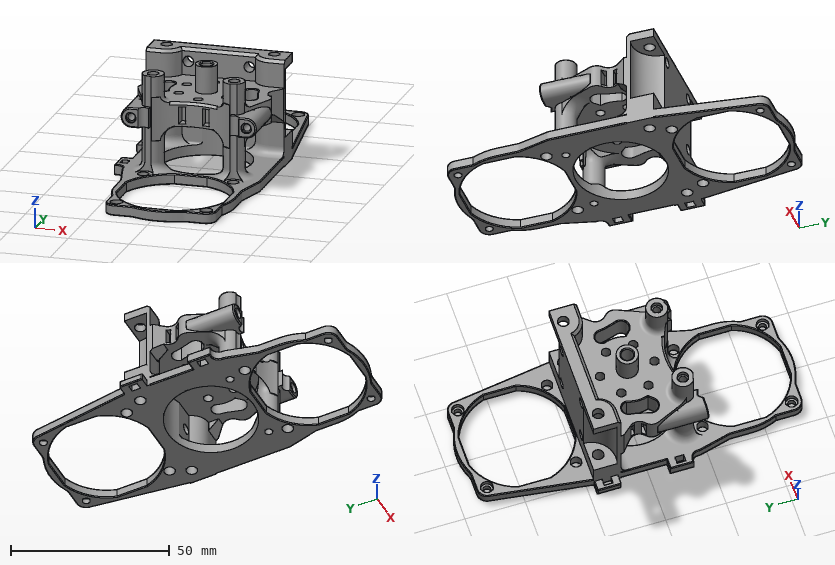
import cadquery as cq
import math

body_half_width = 22.7
total_height = 35.03
base_height = 3.5
base_edge_break = 0.3
pick_margin = 0.1

opening_front_y = -34.84
opening_rear_y = 36.5
opening_radius = 18.3
opening_half_flat = 17.5
ring_outer_radius = 20.0
ring_half_square = 18.1
ring_blend_radius = 3.0
screw_offset = 14.75
corner_radius = ring_half_square - screw_offset
outer_screw_diameter = 2.5
outer_counterbore_diameter = 4.0
outer_counterbore_depth = 1.5
inner_screw_diameter = 3.6
taper_start_y = -16.8
taper_end_y = -27.5
centre_opening_radius = 15.0
centre_opening_y = -0.5

tab_reach = 3.5
tab_length = 7.9
rear_tab_front_y = 10.5
front_tab_front_y = -13.6
rear_tab_height = 2.5
tab_slot_width = 2.3
tab_slot_length = 2.9
tab_slot_from_front = 2.3
tab_blend_radius = 2.5

wall_rear_y = 18.5
wall_front_y = 13.5
wall_screw_x = 17.7
wall_screw_y = 15.4
wall_screw_diameter = 3.6
lobe_radius = 6.0
lobe_skin = 1.0
wall_recess_centre_x = 20.5
wall_recess_bottom = 9.5
wall_recess_top = 32.0
wall_top_chamfer = 1.0
wall_foot_radius = 3.0
wall_middle_foot_radius = 0.8
wall_hole_pitch = 20.0
wall_hole_centre_z = 20.6
wall_hole_diameter = 3.4

plate_bottom = 18.2
plate_top = 26.1
plate_front_radius = 21.5
plate_front_chamfer = 0.8
plate_hole_circle_radius = 9.0
plate_hole_diameter = 2.93
plate_hole_count = 6
plate_front_limit_y = -16.5
gusset_leg = 3.6
gusset_inner_x = 17.5
slot_edge_chamfer = 0.3

side_corner_y = 8.5
waist_start = (19.9, 5.2)
waist_middle = (19.3, 3.2)
waist_end = (20.1, 1.1)
hip_start = (21.0, 0.2)
hip_middle = (21.8, -1.9)
hip_end = (21.5, -3.4)
post_tangent = (16.7, -14.4)

slot_inner_rear = (11.4, 4.0)
slot_inner_middle = (12.1, 0.0)
slot_inner_front = (11.6, -3.1)
slot_front_start = (13.4, -4.9)
slot_front_middle = (16.3, -4.9)
slot_front_end = (17.4, -2.3)
slot_outer_bend = (16.1, 2.2)
slot_outer_rear = (15.8, 4.2)
slot_rear_middle = (13.6, 6.2)

rib_slot_bottom = 19.0
rib_slot_top = 24.6
front_rib_slot_x = 3.9
front_rib_slot_width = 2.2
front_rib_slot_depth = 3.0
side_rib_slot_ys = (4.5, 1.0)
side_rib_slot_width = 1.3
side_rib_slot_floor_x = 17.5

post_diameter = 7.0
boss_bore_diameter = 4.0
boss_bore_chamfer = 0.35
post_x = 13.3
post_y = -14.1
post_bore_diameter = 2.5
post_counterbore_diameter = 3.6
post_counterbore_depth = 1.5
foot_flare_radius = 3.0
under_plate_flare_radius = 4.5
over_plate_flare_radius = 2.0
driver_clearance_diameter = 6.1

tube_x = 18.95
tube_z = 21.6
tube_diameter = 6.5
tube_front_y = -19.9
tube_rear_y = -3.0
tube_end_chamfer = 0.4
tube_bore_diameter = 2.4
tube_bore_depth = 10.0
tube_counterbore_diameter = 3.4
tube_counterbore_depth = 1.0


def box(x0, x1, y0, y1, z0, z1):
    return cq.Workplane("XY").box(x1 - x0, y1 - y0, z1 - z0, centered=False).translate((x0, y0, z0))


def cylinder(x, y, z0, z1, radius):
    return cq.Workplane("XY").workplane(offset=z0).center(x, y).circle(radius).extrude(z1 - z0)


def both_sides(shape):
    return shape.union(shape.mirror("YZ"))


def screw_corners(centre_y, outward):
    """Outer (free end) and inner screw rows of an opening, as (x, y) lists."""
    outer_y = centre_y + outward * screw_offset
    inner_y = centre_y - outward * screw_offset
    outer = [(side * screw_offset, outer_y) for side in (-1, 1)]
    inner = [(side * screw_offset, inner_y) for side in (-1, 1)]
    return outer, inner


rear_outer_screws, rear_inner_screws = screw_corners(opening_rear_y, 1)
front_outer_screws, front_inner_screws = screw_corners(opening_front_y, -1)


def ring_blank(centre_y, outward):
    """Rounded square with a circular bulge; the bulge is blended into the free end."""
    square = box(
        -ring_half_square, ring_half_square,
        centre_y - ring_half_square, centre_y + ring_half_square, 0, base_height,
    ).edges("|Z").fillet(corner_radius)
    blank = square.union(cylinder(0, centre_y, 0, base_height, ring_outer_radius))
    meet = math.sqrt(ring_outer_radius**2 - ring_half_square**2)
    end_y = centre_y + outward * ring_half_square
    picks = cq.selectors.BoxSelector(
        (-meet - pick_margin, end_y - pick_margin, 0),
        (meet + pick_margin, end_y + pick_margin, base_height),
    )
    return blank.edges("|Z").edges(picks).fillet(ring_blend_radius)


def body_blank():
    """Base between the openings, tapering to each ring."""
    rear_corner_y = opening_rear_y + screw_offset
    half = [
        (ring_half_square, rear_corner_y),
        (body_half_width, wall_rear_y),
        (body_half_width, taper_start_y),
        (ring_outer_radius, taper_end_y),
        (ring_outer_radius, opening_front_y),
    ]
    outline = half + [(-x, y) for x, y in reversed(half)]
    return cq.Workplane("XY").polyline(outline).close().extrude(base_height)


def front_tab():
    """Full-height tab whose front side sweeps into the body with a concave arc."""
    outer_x = -body_half_width - tab_reach
    rear_y = front_tab_front_y + tab_length
    r = tab_blend_radius
    bend = r * math.sqrt(0.5)
    return (
        cq.Workplane("XY")
        .moveTo(0, rear_y)
        .lineTo(outer_x, rear_y)
        .lineTo(outer_x, front_tab_front_y)
        .lineTo(-body_half_width - r, front_tab_front_y)
        .threePointArc(
            (-body_half_width - r + bend, front_tab_front_y - r + bend),
            (-body_half_width, front_tab_front_y - r),
        )
        .lineTo(0, front_tab_front_y - r)
        .close()
        .extrude(base_height)
    )


def ring_opening(centre_y):
    h = opening_half_flat
    square = box(-h, h, centre_y - h, centre_y + h, 0, base_height)
    return square.intersect(cylinder(0, centre_y, 0, base_height, opening_radius))


def make_base():
    base = body_blank()
    base = base.union(ring_blank(opening_rear_y, 1)).union(ring_blank(opening_front_y, -1))
    base = base.union(front_tab())
    for centre_y in (opening_rear_y, opening_front_y):
        base = base.cut(ring_opening(centre_y))
    base = base.faces("<Z or >Z").edges().chamfer(base_edge_break)
    rear_tab = box(
        -body_half_width - tab_reach, 0,
        rear_tab_front_y, rear_tab_front_y + tab_length, 0, rear_tab_height,
    ).edges("<X or (>Y and >Z)").chamfer(base_edge_break)
    return base.union(rear_tab)


def wall_blank():
    """Flat wall with a lobe round each end screw."""
    wall = box(-body_half_width, body_half_width, wall_front_y, wall_rear_y, 0, total_height)
    lobe = cylinder(wall_screw_x, wall_screw_y, 0, total_height, lobe_radius).union(
        box(wall_screw_x, body_half_width, wall_screw_y - lobe_radius, wall_rear_y, 0, total_height)
    )
    limits = box(-body_half_width, body_half_width, 0, wall_rear_y, 0, total_height)
    return wall.union(both_sides(lobe)).intersect(limits)


def wall_recess():
    """Open-backed round pocket behind each lobe, leaving a thin front skin."""
    floor_y = wall_screw_y - lobe_radius + lobe_skin
    pocket = cylinder(
        wall_recess_centre_x, wall_rear_y, wall_recess_bottom, wall_recess_top, wall_rear_y - floor_y
    )
    limits = box(0, body_half_width, floor_y, wall_rear_y, 0, total_height)
    return both_sides(pocket.intersect(limits))


def make_wall():
    wall = wall_blank()
    top_front = cq.selectors.BoxSelector(
        (-body_half_width + pick_margin, 0, total_height - pick_margin),
        (body_half_width - pick_margin, wall_front_y + pick_margin, total_height + pick_margin),
    )
    return wall.edges(top_front).chamfer(wall_top_chamfer)


def foot_strip(x0, x1, y, r):
    """Straight concave fillet between a wall face at y and the base, running along X."""
    top = base_height + r
    strip = box(x0, x1, y - r, y, base_height, top)
    round_cut = cq.Workplane("YZ").workplane(offset=x0).center(y - r, top).circle(r).extrude(x1 - x0)
    return strip.cut(round_cut)


def wall_foot():
    """Concave fillets between the front of the wall and the base."""
    lobe_front = wall_screw_y - lobe_radius
    foot = foot_strip(wall_screw_x, body_half_width, lobe_front, wall_foot_radius)
    ring = flare(wall_screw_x, wall_screw_y, lobe_radius, base_height, wall_foot_radius, 1)
    foot = foot.union(ring.intersect(box(0, wall_screw_x, 0, wall_screw_y, 0, total_height)))
    middle_half_width = wall_screw_x - lobe_radius
    middle = foot_strip(-middle_half_width, middle_half_width, wall_front_y, wall_middle_foot_radius)
    return both_sides(foot), middle


def flare(x, y, radius, z, size, direction):
    """Concave ring between a vertical cylinder and a plane at z."""
    bend = size * (1 - math.sqrt(0.5))
    ring = (
        cq.Workplane("XZ")
        .moveTo(0, z)
        .lineTo(radius + size, z)
        .threePointArc((radius + bend, z + direction * bend), (radius, z + direction * size))
        .lineTo(0, z + direction * size)
        .close()
        .revolve(360, (0, 0, 0), (0, 1, 0))
    )
    return ring.translate((x, y, 0))


def plate_region(z0, z1):
    """Plan shape of the raised plate with its waisted sides, before the front is trimmed."""
    half = (
        cq.Workplane("XY").workplane(offset=z0)
        .moveTo(0, wall_front_y)
        .lineTo(body_half_width, wall_front_y)
        .lineTo(body_half_width, side_corner_y)
        .lineTo(*waist_start)
        .threePointArc(waist_middle, waist_end)
        .lineTo(*hip_start)
        .threePointArc(hip_middle, hip_end)
        .lineTo(*post_tangent)
        .lineTo(post_x, plate_front_limit_y)
        .lineTo(0, plate_front_limit_y)
        .close()
        .extrude(z1 - z0)
    )
    return both_sides(half)


def slot_outline(z):
    """Bent slot: inner edge curving round the boss, outer edge following the side."""
    return (
        cq.Workplane("XY").workplane(offset=z)
        .moveTo(*slot_inner_rear)
        .threePointArc(slot_inner_middle, slot_inner_front)
        .lineTo(*slot_front_start)
        .threePointArc(slot_front_middle, slot_front_end)
        .lineTo(*slot_outer_bend)
        .lineTo(*slot_outer_rear)
        .threePointArc(slot_rear_middle, slot_inner_rear)
        .close()
    )


def adjustment_slot():
    """Slot through the plate with a chamfered rim."""
    slot = slot_outline(plate_bottom).extrude(plate_top - plate_bottom)
    rim = slot_outline(plate_top - slot_edge_chamfer).extrude(slot_edge_chamfer, taper=-45)
    return slot.union(rim)


def make_plate():
    plate = plate_region(plate_bottom, plate_top)
    holes = (
        cq.Workplane("XY").workplane(offset=plate_bottom)
        .polarArray(plate_hole_circle_radius, 90, 360, plate_hole_count)
        .circle(plate_hole_diameter / 2)
        .extrude(plate_top - plate_bottom)
    )
    plate = plate.cut(holes)
    front_y = opening_front_y + plate_front_radius
    half = front_rib_slot_width / 2
    front_slot = box(
        front_rib_slot_x - half, front_rib_slot_x + half,
        plate_front_limit_y, front_y + front_rib_slot_depth, rib_slot_bottom, rib_slot_top,
    )
    plate = plate.cut(both_sides(front_slot))
    for y in side_rib_slot_ys:
        half = side_rib_slot_width / 2
        side_slot = box(side_rib_slot_floor_x, body_half_width, y - half, y + half,
                        rib_slot_bottom, rib_slot_top)
        plate = plate.cut(both_sides(side_slot))
    return plate


def make_gusset():
    """45 degree support under the plate, in front of each lobe."""
    y = wall_screw_y - lobe_radius
    gusset = (
        cq.Workplane("YZ").workplane(offset=gusset_inner_x)
        .polyline([(y, plate_bottom), (y - gusset_leg, plate_bottom), (y, plate_bottom - gusset_leg)])
        .close()
        .extrude(body_half_width - gusset_inner_x)
    )
    gusset = gusset.intersect(plate_region(0, plate_top))
    return both_sides(gusset)


def make_boss():
    return cylinder(0, 0, plate_bottom, total_height, post_diameter / 2)


def boss_bore():
    """Through bore with a chamfered mouth."""
    radius = boss_bore_diameter / 2
    mouth = (
        cq.Workplane("XY").workplane(offset=total_height - boss_bore_chamfer)
        .circle(radius).extrude(boss_bore_chamfer, taper=-45)
    )
    return cylinder(0, 0, 0, total_height, radius).union(mouth)


def make_post():
    """Front post with its three flares, kept clear of the front opening and its inner screw."""
    r = post_diameter / 2
    foot = flare(post_x, post_y, r, base_height, foot_flare_radius, 1)
    foot = foot.cut(cylinder(0, opening_front_y, 0, total_height, opening_radius + base_edge_break))
    post = cylinder(post_x, post_y, 0, total_height, r).union(foot)
    post = drill(post, front_inner_screws[1:], driver_clearance_diameter, base_height)
    over = flare(post_x, post_y, r, plate_top, over_plate_flare_radius, 1)
    under = flare(post_x, post_y, r, plate_bottom, under_plate_flare_radius, -1)
    return post.union(over.union(under).intersect(plate_region(0, total_height)))


def front_trim():
    """Concave front of the plate and post flares, with a chamfered top edge between the posts."""
    trim = cylinder(
        0, opening_front_y, plate_bottom - under_plate_flare_radius, plate_top + over_plate_flare_radius,
        plate_front_radius,
    )
    half_width = post_x - post_diameter / 2 - over_plate_flare_radius
    chamfer = (
        cq.Workplane("XY").workplane(offset=plate_top - plate_front_chamfer)
        .center(0, opening_front_y)
        .circle(plate_front_radius)
        .extrude(plate_front_chamfer, taper=-45)
    )
    chamfer = chamfer.intersect(box(-half_width, half_width, plate_front_limit_y, 0, 0, total_height))
    return trim, chamfer


def make_tube():
    """Horizontal screw tube joined to the post by a flat web."""
    r = tube_diameter / 2
    tube = (
        cq.Workplane("XZ", origin=(tube_x, tube_front_y, tube_z))
        .circle(r)
        .extrude(tube_front_y - tube_rear_y)
    )
    web = box(post_x, tube_x, tube_front_y, post_y + post_diameter / 2, tube_z - r, tube_z + r)
    return tube.union(web).faces("<Y").edges().chamfer(tube_end_chamfer)


def tube_bore():
    mouth = cq.Workplane("XZ", origin=(tube_x, tube_front_y, tube_z))
    bore = mouth.circle(tube_bore_diameter / 2).extrude(-tube_bore_depth)
    return bore.union(mouth.circle(tube_counterbore_diameter / 2).extrude(-tube_counterbore_depth))


def drill(shape, points, diameter, z0=0.0, z1=total_height):
    for x, y in points:
        shape = shape.cut(cylinder(x, y, z0, z1, diameter / 2))
    return shape


def drill_all(part):
    part = part.cut(cylinder(0, centre_opening_y, 0, plate_bottom, centre_opening_radius))
    part = part.cut(wall_recess()).cut(both_sides(adjustment_slot()))
    outer = rear_outer_screws + front_outer_screws
    part = drill(part, outer, outer_screw_diameter)
    part = drill(part, outer, outer_counterbore_diameter, base_height - outer_counterbore_depth)
    part = drill(part, rear_inner_screws + front_inner_screws, inner_screw_diameter)
    wall_screws = [(side * wall_screw_x, wall_screw_y) for side in (-1, 1)]
    part = drill(part, wall_screws, wall_screw_diameter)
    posts = [(side * post_x, post_y) for side in (-1, 1)]
    part = drill(part, posts, post_bore_diameter)
    part = drill(part, posts, post_counterbore_diameter, total_height - post_counterbore_depth)
    part = part.cut(boss_bore())
    part = part.cut(both_sides(tube_bore()))
    wall_holes = (
        cq.Workplane("XZ", origin=(0, wall_rear_y, wall_hole_centre_z))
        .rarray(wall_hole_pitch, wall_hole_pitch, 2, 2)
        .circle(wall_hole_diameter / 2)
        .extrude(wall_rear_y - wall_front_y)
    )
    part = part.cut(wall_holes)
    for front_y in (rear_tab_front_y, front_tab_front_y):
        slot_y = front_y + tab_slot_from_front
        part = part.cut(
            box(-body_half_width - tab_slot_width, -body_half_width,
                slot_y, slot_y + tab_slot_length, 0, base_height)
        )
    return part


part = make_base().union(make_wall()).union(make_plate()).union(make_gusset())
for foot in wall_foot():
    part = part.union(foot)
part = part.union(make_boss()).union(both_sides(make_post()))
for trim in front_trim():
    part = part.cut(trim)
part = part.union(both_sides(make_tube()))
result = drill_all(part)